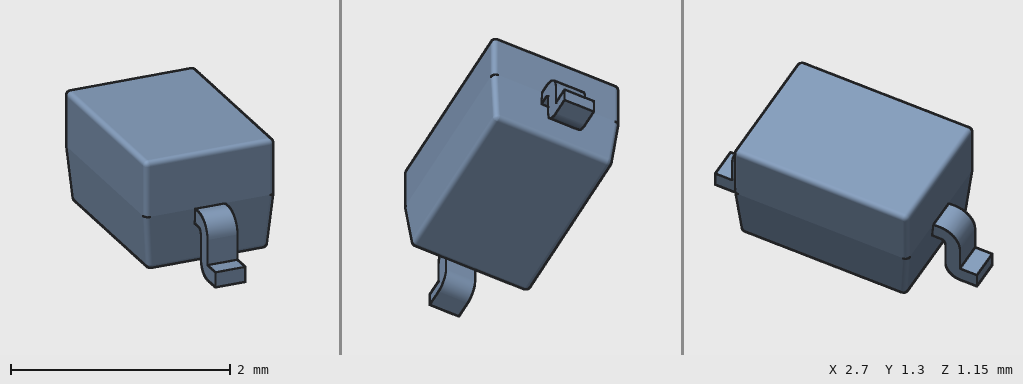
import cadquery as cq
import math

overall_length = 2.7
overall_height = 1.15

body_length = 1.8
body_width = 1.3
standoff = 0.05
parting_height = 0.602
draft_angle = 5.0
edge_radius = 0.049

lead_width = 0.3
lead_thickness = 0.15
foot_length = 0.175
shoulder_inner_radius = 0.05
lead_embed = 0.08


def round_half(half, end_face):
    """Round the four corner edges of a body half and the rim of its end face."""
    corners_rounded = half.edges("not(#Z)").fillet(edge_radius)
    return corners_rounded.faces(end_face).edges().fillet(edge_radius)


def make_body():
    """Straight upper half over a tapered lower half, sharing the parting plane."""
    parting = cq.Workplane("XY", origin=(0, 0, parting_height))
    upper = parting.rect(body_length, body_width).extrude(overall_height - parting_height)
    lower = parting.rect(body_length, body_width).extrude(standoff - parting_height, taper=draft_angle)
    return round_half(upper, ">Z").union(round_half(lower, "<Z"))


def make_left_lead():
    """S-shaped strip: foot, heel bend, riser, shoulder bend, then into the body."""
    toe_x = -overall_length / 2
    riser_outer_x = toe_x + foot_length
    riser_inner_x = riser_outer_x + lead_thickness
    shoulder_outer_radius = shoulder_inner_radius + lead_thickness
    shoulder_x = riser_inner_x + shoulder_inner_radius
    shoulder_z = parting_height - shoulder_outer_radius
    buried_x = -body_length / 2 + lead_embed
    diagonal = math.sqrt(0.5)

    profile = (
        cq.Workplane("XZ")
        .moveTo(toe_x, 0)
        .lineTo(riser_outer_x, 0)
        .threePointArc(
            (riser_outer_x + lead_thickness * diagonal, lead_thickness * (1 - diagonal)),
            (riser_inner_x, lead_thickness),
        )
        .lineTo(riser_inner_x, shoulder_z)
        .threePointArc(
            (shoulder_x - shoulder_inner_radius * diagonal, shoulder_z + shoulder_inner_radius * diagonal),
            (shoulder_x, shoulder_z + shoulder_inner_radius),
        )
        .lineTo(buried_x, parting_height - lead_thickness)
        .lineTo(buried_x, parting_height)
        .lineTo(shoulder_x, parting_height)
        .threePointArc(
            (shoulder_x - shoulder_outer_radius * diagonal, shoulder_z + shoulder_outer_radius * diagonal),
            (riser_outer_x, shoulder_z),
        )
        .lineTo(riser_outer_x, lead_thickness)
        .lineTo(toe_x, lead_thickness)
        .close()
    )
    return profile.extrude(lead_width / 2, both=True)


left_lead = make_left_lead()
right_lead = left_lead.mirror("YZ")
result = make_body().union(left_lead).union(right_lead)